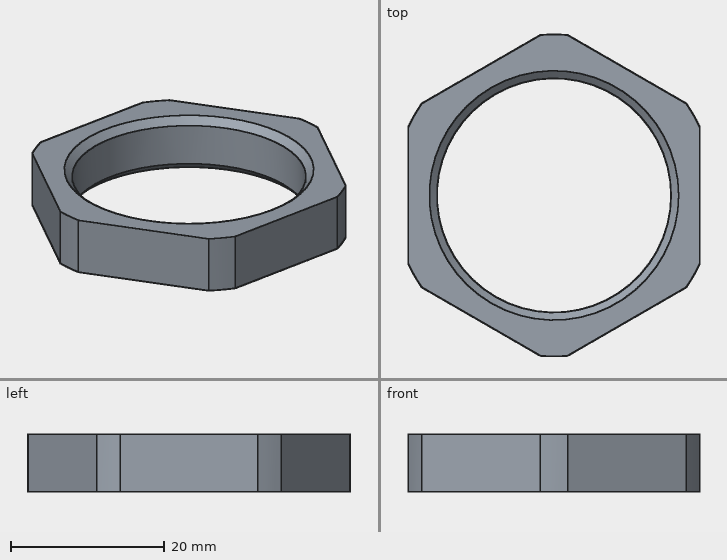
import cadquery as cq
import math

across_flats = 38.0
corner_diameter = 42.0
thickness = 7.5
bore_diameter = 30.48
bore_chamfer = 1.0

across_corners = across_flats / math.cos(math.pi / 6)
hexagon = (
    cq.Workplane("XY")
    .polygon(6, across_corners)
    .extrude(thickness)
    .rotate((0, 0, 0), (0, 0, 1), 30)
)

corner_cylinder = cq.Workplane("XY").circle(corner_diameter / 2).extrude(thickness)
body = hexagon.intersect(corner_cylinder)

bore = cq.Workplane("XY").circle(bore_diameter / 2).extrude(thickness)
result = body.cut(bore).edges(cq.selectors.RadiusNthSelector(0)).chamfer(bore_chamfer)